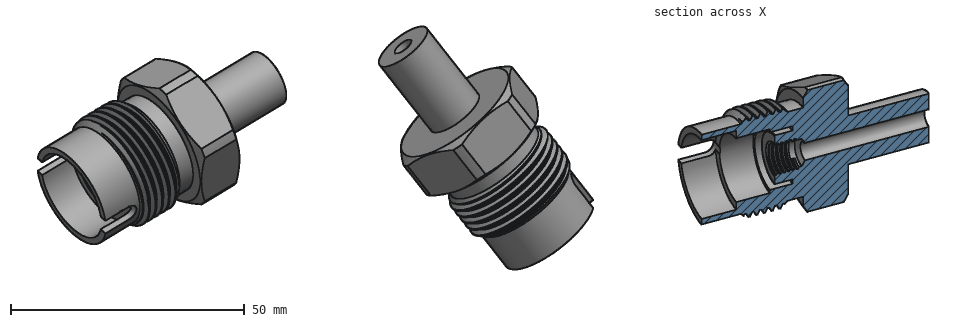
import cadquery as cq
import math

total_length = 53.85

hex_across_flats = 28.6
hex_corner_radius = 15.9
hex_face_radius = 14.05
hex_chamfer_angle = 30.0
hex_start = 24.0
hex_end = 34.8

sleeve_radius = 11.75
neck_radius = 11.65
stem_radius = 6.4

thread_start = 9.3
thread_end = 20.35
thread_pitch = 1.815
thread_crest_radius = 13.1
thread_root_radius = 12.05
thread_flank_angle = 27.5
thread_lead_in = 2.0
thread_start_angle = 200.0

mouth_radius = 10.2
mouth_depth = 8.2
socket_radius = 8.25
socket_depth = 16.15
gap_radius = 7.45
gap_depth = 21.55

stem_tip = 17.25
stem_tip_chamfer = 0.15
passage_radius = 2.2
stem_bore_radius = 3.5
stem_bore_depth = 6.45
stem_bore_mouth_radius = 4.15
stem_bore_cone_angle = 59.0

inner_thread_pitch = 1.0
inner_thread_root_radius = 4.0
inner_thread_flank_angle = 30.0
inner_thread_lead_in = 0.6
inner_thread_turns = 6
inner_thread_start_angle = 130.0

slot_width = 4.05
slot_depth = 8.4

cutter_overrun = 0.15


def cylinder(radius, start, end):
    return cq.Workplane("XY").workplane(offset=start).circle(radius).extrude(end - start)


def revolve_outline(points):
    """Revolve (radius, height) points around Z."""
    return cq.Workplane("YZ").polyline(points).close().revolve(360, (0, 0, 0), (0, 1, 0))


def cut_thread(blank, root_radius, crest_radius, pitch, flank_angle, start, turns, start_angle):
    """Cut a right-handed thread with equal flats at root and crest, half a turn at a time."""
    slope = math.tan(math.radians(flank_angle))
    flank = abs(crest_radius - root_radius) * slope
    root_half_width = (pitch - 2 * flank) / 4
    open_half_width = root_half_width + flank + cutter_overrun * slope
    open_radius = crest_radius + math.copysign(cutter_overrun, crest_radius - root_radius)
    groove_section = [
        (root_radius, -root_half_width),
        (open_radius, -open_half_width),
        (open_radius, open_half_width),
        (root_radius, root_half_width),
    ]
    path = cq.Workplane(cq.Wire.makeHelix(pitch, pitch / 2, root_radius))
    half_turn = cq.Workplane("XZ").polyline(groove_section).close().sweep(path, isFrenet=True)
    for step in range(2 * turns):
        angle = start_angle + 180 * step
        height = start + step * pitch / 2
        blank = blank.cut(half_turn.rotate((0, 0, 0), (0, 0, 1), angle).translate((0, 0, height)))
    return blank


def make_hex_nut():
    """Hexagon with flats facing X, its corners rounded and chamfered by a turned envelope."""
    across_corners = hex_across_flats / math.cos(math.radians(30))
    nut = (
        cq.Workplane("XY")
        .workplane(offset=hex_start)
        .polygon(6, across_corners)
        .extrude(hex_end - hex_start)
        .rotate((0, 0, 0), (0, 0, 1), 30)
    )
    chamfer = (hex_corner_radius - hex_face_radius) * math.tan(math.radians(hex_chamfer_angle))
    envelope = revolve_outline(
        [
            (0, hex_start),
            (hex_face_radius, hex_start),
            (hex_corner_radius, hex_start + chamfer),
            (hex_corner_radius, hex_end - chamfer),
            (hex_face_radius, hex_end),
            (0, hex_end),
        ]
    )
    return nut.intersect(envelope)


def make_threaded_sleeve():
    """Sleeve and neck joined by a threaded band with 45 degree chamfers."""
    sleeve_chamfer = thread_crest_radius - sleeve_radius
    neck_chamfer = thread_crest_radius - neck_radius
    blank = revolve_outline(
        [
            (0, 0),
            (sleeve_radius, 0),
            (sleeve_radius, thread_start),
            (thread_crest_radius, thread_start + sleeve_chamfer),
            (thread_crest_radius, thread_end - neck_chamfer),
            (neck_radius, thread_end),
            (neck_radius, hex_start),
            (0, hex_start),
        ]
    )
    groove_start = thread_start - thread_lead_in
    return cut_thread(
        blank,
        thread_root_radius,
        thread_crest_radius,
        thread_pitch,
        thread_flank_angle,
        groove_start,
        math.ceil((thread_end - groove_start) / thread_pitch),
        thread_start_angle,
    )


def make_bore():
    return (
        cylinder(mouth_radius, 0, mouth_depth)
        .union(cylinder(socket_radius, 0, socket_depth))
        .union(cylinder(gap_radius, 0, gap_depth))
    )


def make_slots():
    """A round-ended slot passing through both walls of the sleeve along X."""
    radius = slot_width / 2
    straight = slot_depth - radius
    return (
        cq.Workplane("YZ")
        .moveTo(-radius, 0)
        .lineTo(-radius, straight)
        .threePointArc((0, slot_depth), (radius, straight))
        .lineTo(radius, 0)
        .close()
        .extrude(sleeve_radius, both=True)
    )


def make_stem():
    """Tube with a threaded, countersunk bore in its front end and a narrower passage behind."""
    cone_slope = math.tan(math.radians(stem_bore_cone_angle))
    countersink = (stem_bore_mouth_radius - stem_bore_radius) / cone_slope
    bore_end = stem_tip + stem_bore_depth
    taper = (stem_bore_radius - passage_radius) / cone_slope
    blank = revolve_outline(
        [
            (stem_bore_mouth_radius, stem_tip),
            (stem_radius - stem_tip_chamfer, stem_tip),
            (stem_radius, stem_tip + stem_tip_chamfer),
            (stem_radius, total_length),
            (passage_radius, total_length),
            (passage_radius, bore_end + taper),
            (stem_bore_radius, bore_end),
            (stem_bore_radius, stem_tip + countersink),
        ]
    )
    return cut_thread(
        blank,
        inner_thread_root_radius,
        stem_bore_radius,
        inner_thread_pitch,
        inner_thread_flank_angle,
        stem_tip - inner_thread_lead_in,
        inner_thread_turns,
        inner_thread_start_angle,
    )


body = make_threaded_sleeve().union(make_hex_nut())
body = body.cut(make_bore()).cut(make_slots())
body = body.cut(cylinder(stem_radius, gap_depth, hex_end)).union(make_stem())
result = body.rotate((0, 0, 0), (1, 0, 0), -90)